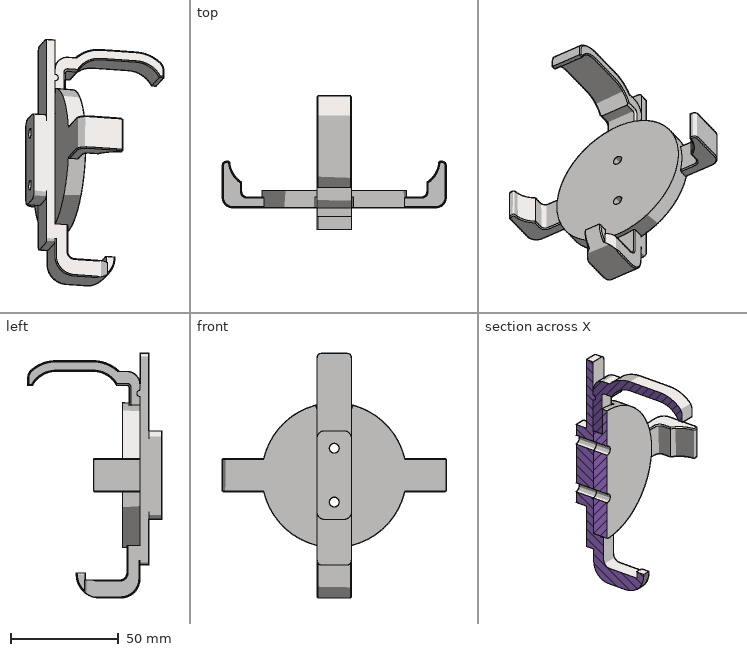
import cadquery as cq
import math


overall_height = 113.5
arm_width = 16.0
half_width = arm_width / 2
edge_chamfer = 0.6
selection_margin = 0.1
corner_radius = 5.0
block_half_length = 20.5

disc_radius = 33.6
disc_thickness = 8.2
hook_reach = 52.0
hook_floor = 5.1
hook_height = 21.7
hook_width = 15.7
hook_tip_width = 3.5
hook_tip_outer_round = 2.0
hook_tip_inner_round = 0.9
hook_wall_x = 42.9
hook_wall_top = 11.9
hook_scoop_radius = 12.0
hook_inner_radius = 2.5

slot_depth = 5.1
slot_bottom = block_half_length
mouth_flare = 0.9
mouth_height = 2.0

strap_thickness = 4.1
strap_top = 56.5
strap_bottom = -41.7
strap_corner_radius = 2.0
block_thickness = 6.0
block_corner_radius = 3.5
screw_hole_diameter = 4.4
screw_hole_offset = 12.5
detent_radius = 1.5
detent_z = 37.9
stem_thickness = 6.1
lower_bottom = strap_top - overall_height
shelf_thickness = 8.4
shelf_end_center_y = 19.2
stem_outer_radius = 9.0
stem_inner_radius = 3.3
lip_outer_y = 29.6
lip_curve_radius = 11.0
lip_thickness = 4.3
lip_top = -45.3
lip_half_width = 4.4
lip_round = 1.0
stem_top = corner_radius - disc_radius

neck_top = 48.1
neck_bottom = 41.6
neck_inner_radius = 1.0
neck_outer_radius = slot_depth + neck_inner_radius
neck_chamfer = 1.0
bow_top = 53.1
bow_thickness = 5.0
bow_flat_start = 21.8
bow_flat_end = 39.0
bow_outer_radius = 17.5
bow_inner_radius = bow_outer_radius - bow_thickness
bow_end_y = 52.1


def arc_rise(radius, run):
    """Height that an arc of this radius leaves its tangent line after a run along that line."""
    return radius - math.sqrt(radius**2 - run**2)


def arc_run(radius, rise):
    """Run along the tangent line after which an arc of this radius has left it by the rise."""
    return math.sqrt(radius**2 - (radius - rise) ** 2)


def extrude_across(profile):
    """Extrudes a YZ profile to the arm width, centred on X = 0."""
    return profile.close().extrude(half_width, both=True)


def side_edges(body, y_range, z_range):
    """Edges around the two flat sides whose centres lie strictly inside both ranges."""
    def is_inside(edge):
        center = edge.Center()
        return y_range[0] < center.y < y_range[1] and z_range[0] < center.z < z_range[1]

    return body.faces("<X or >X").edges().filter(is_inside)


def round_edge_at(body, point, radius):
    """Fillets the edge whose middle lies at the point."""
    return body.edges(cq.selectors.NearestToPointSelector(point)).fillet(radius)


def side_hook():
    """Hook on the +X side; its root runs into the disc."""
    root_x = disc_radius / 2
    tip_inner_x = hook_reach - hook_tip_width
    profile = (
        cq.Workplane("XY")
        .moveTo(root_x, 0)
        .lineTo(hook_reach, 0)
        .lineTo(hook_reach, hook_height)
        .lineTo(tip_inner_x, hook_height)
        .radiusArc((hook_wall_x, hook_wall_top), hook_scoop_radius)
        .lineTo(hook_wall_x, hook_floor)
        .lineTo(root_x, hook_floor)
        .close()
    )
    hook = profile.extrude(hook_width / 2, both=True)
    hook = round_edge_at(hook, (hook_reach, 0, 0), corner_radius)
    hook = round_edge_at(hook, (hook_wall_x, hook_floor, 0), hook_inner_radius)
    hook = round_edge_at(hook, (hook_reach, hook_height, 0), hook_tip_outer_round)
    hook = round_edge_at(hook, (tip_inner_x, hook_height, 0), hook_tip_inner_round)
    return hook.faces("<Z or >Z").edges().chamfer(edge_chamfer)


def foot_slot():
    """Slot for the foot of the upper arm, flared where it breaks out of the disc rim."""
    rim_z = math.sqrt(disc_radius**2 - half_width**2)
    outline = (
        cq.Workplane("XZ")
        .moveTo(-half_width, slot_bottom)
        .lineTo(half_width, slot_bottom)
        .lineTo(half_width, rim_z - mouth_height)
        .lineTo(half_width + mouth_flare, rim_z)
        .lineTo(half_width + mouth_flare, disc_radius)
        .lineTo(-half_width - mouth_flare, disc_radius)
        .lineTo(-half_width - mouth_flare, rim_z)
        .lineTo(-half_width, rim_z - mouth_height)
        .close()
    )
    return outline.extrude(-slot_depth)


def disc_blank():
    """Plain round disc, before its hooks and slot."""
    return cq.Workplane("XZ").circle(disc_radius).extrude(-disc_thickness)


def screw_holes():
    """Cylinders that cut both screw holes right through the block, the strap and the disc."""
    total = disc_thickness + strap_thickness + block_thickness
    return (
        cq.Workplane("XZ", origin=(0, -strap_thickness - block_thickness, 0))
        .pushPoints([(0, -screw_hole_offset), (0, screw_hole_offset)])
        .circle(screw_hole_diameter / 2)
        .extrude(-total)
    )


def make_disc():
    right_hook = side_hook()
    left_hook = right_hook.mirror("YZ")
    disc = disc_blank().union(right_hook).union(left_hook)
    return disc.cut(foot_slot()).cut(screw_holes())


def strap_plate():
    length = strap_top - strap_bottom
    return (
        cq.Workplane("XY")
        .box(arm_width, strap_thickness, length)
        .edges("|Y")
        .fillet(strap_corner_radius)
        .translate((0, -strap_thickness / 2, (strap_top + strap_bottom) / 2))
    )


def mounting_block():
    return (
        cq.Workplane("XY")
        .box(arm_width, block_thickness, 2 * block_half_length)
        .edges("|Y")
        .fillet(block_corner_radius)
        .translate((0, -strap_thickness - block_thickness / 2, 0))
    )


def detent():
    """Round bar across the strap; half of it stands proud as the detent bump."""
    return (
        cq.Workplane("YZ").center(0, detent_z).circle(detent_radius).extrude(half_width, both=True)
    )


def stem_and_shelf():
    """Stem that reaches past the disc rim, and shelf with a half-round end."""
    shelf_top = lower_bottom + shelf_thickness
    shelf_end_y = shelf_end_center_y + half_width
    profile = (
        cq.Workplane("YZ")
        .moveTo(0, stem_top)
        .lineTo(0, lower_bottom + stem_outer_radius)
        .radiusArc((stem_outer_radius, lower_bottom), -stem_outer_radius)
        .lineTo(shelf_end_y, lower_bottom)
        .lineTo(shelf_end_y, shelf_top)
        .lineTo(stem_thickness + stem_inner_radius, shelf_top)
        .radiusArc((stem_thickness, shelf_top + stem_inner_radius), stem_inner_radius)
        .lineTo(stem_thickness, stem_top)
    )
    plan = (
        cq.Workplane("XY", origin=(0, 0, lower_bottom))
        .moveTo(-half_width, 0)
        .lineTo(-half_width, shelf_end_center_y)
        .threePointArc((0, shelf_end_y), (half_width, shelf_end_center_y))
        .lineTo(half_width, 0)
        .close()
        .extrude(stem_top - lower_bottom)
    )
    body = extrude_across(profile)
    y_range = (-selection_margin, shelf_end_y - selection_margin)
    z_range = (lower_bottom - selection_margin, stem_top - selection_margin)
    body = side_edges(body, y_range, z_range).chamfer(edge_chamfer)
    return body.intersect(plan)


def under_curve_profile(top):
    """Profile of the lower hook's rounded underside, up to the given height."""
    curve_start_y = lip_outer_y - lip_curve_radius
    curve_end_z = lower_bottom + lip_curve_radius
    diagonal = lip_curve_radius * math.sqrt(0.5)
    return (
        cq.Workplane("YZ")
        .moveTo(0, top)
        .lineTo(0, lower_bottom)
        .lineTo(curve_start_y, lower_bottom)
        .threePointArc((curve_start_y + diagonal, curve_end_z - diagonal), (lip_outer_y, curve_end_z))
        .lineTo(lip_outer_y, top)
    )


def back_strip():
    """Square-edged strip that fills the stem's back chamfers where the strap lies against it."""
    strip_bottom = strap_bottom + strap_corner_radius
    return (
        cq.Workplane("XY", origin=(0, 0, strip_bottom))
        .box(arm_width, edge_chamfer, stem_top - strip_bottom, centered=(True, False, False))
    )


def lip():
    """Narrow lip standing beyond the shelf end, with chamfered outer and rounded top edges."""
    lip_inner_y = lip_outer_y - lip_thickness
    body = under_curve_profile(lip_top).close().extrude(lip_half_width, both=True)
    y_range = (lip_inner_y, lip_outer_y + selection_margin)
    z_range = (lower_bottom, lip_top - selection_margin)
    body = side_edges(body, y_range, z_range).chamfer(edge_chamfer)
    rounded_bar = (
        cq.Workplane("XY")
        .box(2 * lip_half_width, lip_thickness, lip_top - lower_bottom, centered=(True, False, False))
        .edges("|Y and >Z")
        .fillet(lip_round)
        .translate((0, lip_inner_y, lower_bottom))
    )
    return body.intersect(rounded_bar)


def lower_hook():
    """Stem, shelf and lip, with the stem ending on the disc rim."""
    shelf = stem_and_shelf().union(back_strip())
    envelope = extrude_across(under_curve_profile(stem_top))
    return shelf.intersect(envelope).union(lip()).cut(disc_blank())


def make_strap():
    strap = strap_plate().union(mounting_block()).union(lower_hook()).union(detent())
    return strap.cut(screw_holes())


def arm_profile():
    """YZ outline of the foot, the neck and the bow."""
    bow_underside = bow_top - bow_thickness
    outer_root_y = bow_flat_start - arc_run(bow_outer_radius, bow_top - neck_top)
    inner_root_y = bow_flat_start - arc_run(bow_inner_radius, bow_underside - neck_bottom)
    tip_inner_y = bow_flat_end + arc_run(bow_inner_radius, bow_underside - neck_bottom)
    outer_end_z = bow_top - arc_rise(bow_outer_radius, bow_end_y - bow_flat_end)
    return (
        cq.Workplane("YZ")
        .moveTo(0, slot_bottom)
        .lineTo(0, neck_top - neck_outer_radius)
        .radiusArc((neck_outer_radius, neck_top), neck_outer_radius)
        .lineTo(outer_root_y, neck_top)
        .radiusArc((bow_flat_start, bow_top), bow_outer_radius)
        .lineTo(bow_flat_end, bow_top)
        .radiusArc((bow_end_y, outer_end_z), bow_outer_radius)
        .lineTo(bow_end_y, neck_bottom)
        .lineTo(tip_inner_y, neck_bottom)
        .radiusArc((bow_flat_end, bow_underside), -bow_inner_radius)
        .lineTo(bow_flat_start, bow_underside)
        .radiusArc((inner_root_y, neck_bottom), -bow_inner_radius)
        .lineTo(slot_depth + neck_inner_radius, neck_bottom)
        .radiusArc((slot_depth, neck_bottom - neck_inner_radius), -neck_inner_radius)
        .lineTo(slot_depth, slot_bottom)
    )


def make_upper_arm():
    arm = extrude_across(arm_profile())
    outer_end_z = bow_top - arc_rise(bow_outer_radius, bow_end_y - bow_flat_end)
    arm = round_edge_at(arm, (0, bow_end_y, outer_end_z), corner_radius)

    bow_root_y = bow_flat_start - arc_run(bow_inner_radius, bow_top - bow_thickness - neck_bottom)
    bow_y_range = (bow_root_y, bow_end_y + selection_margin)
    bow_z_range = (neck_bottom - selection_margin, bow_top + selection_margin)
    arm = side_edges(arm, bow_y_range, bow_z_range).chamfer(edge_chamfer)

    neck_y_range = (slot_depth - selection_margin, bow_root_y)
    neck_z_range = (slot_bottom + selection_margin, neck_bottom + selection_margin)
    arm = side_edges(arm, neck_y_range, neck_z_range).chamfer(neck_chamfer)
    return arm.cut(detent())


disc = make_disc()
strap = make_strap()
upper_arm = make_upper_arm()
result = cq.Compound.makeCompound([disc.val(), strap.val(), upper_arm.val()])